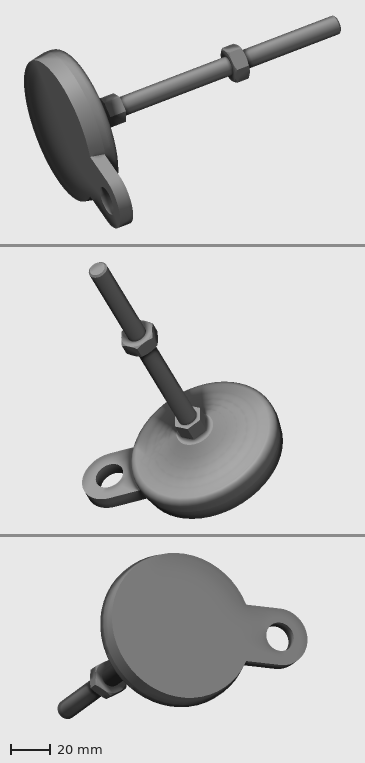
import cadquery as cq
import math

total_length = 160.0

foot_radius = 40.0
sole_radius = 38.4
flare_top = 7.8
shoulder_fillet = 4.0
shoulder_top = 15.4
crown_mid_radius = 23.2
crown_mid_height = 18.0
crown_radius = 11.5
crown_edge = 24.2
crown_bevel_height = 1.0
crown_bevel_width = 1.5

lug_radius = 15.0
lug_thickness = 7.4
lug_reach = 69.0
lug_hole_diameter = 15.0

spindle_diameter = 10.0
spindle_chamfer = 1.0
collar_start = 26.2
collar_height = 9.0
collar_flats = 14.0
nut_start = 97.5
nut_height = 8.0
nut_flats = 17.0


def plane_at(height):
    """Sketch plane across the spindle, with its normal along +Y."""
    return cq.Workplane(cq.Plane(origin=(0, height, 0), xDir=(1, 0, 0), normal=(0, 1, 0)))


def make_foot():
    """Dished foot turned about the Y axis."""
    shoulder_radius = foot_radius - shoulder_fillet
    fillet_offset = shoulder_fillet * math.sqrt(0.5)
    fillet_middle = (
        shoulder_radius + fillet_offset,
        shoulder_top - shoulder_fillet + fillet_offset,
    )
    return (
        cq.Workplane("XY")
        .lineTo(sole_radius, 0)
        .lineTo(foot_radius, flare_top)
        .lineTo(foot_radius, shoulder_top - shoulder_fillet)
        .threePointArc(fillet_middle, (shoulder_radius, shoulder_top))
        .threePointArc((crown_mid_radius, crown_mid_height), (crown_radius, crown_edge))
        .lineTo(crown_radius - crown_bevel_width, crown_edge + crown_bevel_height)
        .lineTo(0, crown_edge + crown_bevel_height)
        .close()
        .revolve(360, (0, 0, 0), (0, 1, 0))
    )


def make_lug():
    """Round-ended lug, flush with the sole, with its through hole."""
    eye_x = lug_reach - lug_radius
    arm = plane_at(0).center(eye_x / 2, 0).rect(eye_x, 2 * lug_radius).extrude(lug_thickness)
    eye = plane_at(0).center(eye_x, 0).circle(lug_radius).extrude(lug_thickness)
    hole = plane_at(0).center(eye_x, 0).circle(lug_hole_diameter / 2).extrude(lug_thickness)
    return arm.union(eye).cut(hole)


def make_spindle():
    """Rod from the sole to the far end, chamfered at the tip."""
    rod = plane_at(0).circle(spindle_diameter / 2).extrude(total_length)
    return rod.faces(">Y").chamfer(spindle_chamfer)


def make_hexagon(start, height, flats):
    """Hexagonal prism with flats facing X and corners facing Z."""
    corner_diameter = flats / math.cos(math.radians(30))
    prism = plane_at(start).polygon(6, corner_diameter).extrude(height)
    return prism.rotate((0, 0, 0), (0, 1, 0), 30)


def make_nut():
    """Lock nut with its corners turned down to 30 degree cones at both ends."""
    corner_radius = nut_flats / 2 / math.cos(math.radians(30))
    corner_setback = corner_radius - nut_flats / 2
    corner_drop = corner_setback * math.tan(math.radians(30))
    turned_blank = (
        plane_at(nut_start)
        .circle(corner_radius)
        .extrude(nut_height)
        .faces("<Y or >Y")
        .chamfer(corner_drop, corner_setback)
    )
    return make_hexagon(nut_start, nut_height, nut_flats).intersect(turned_blank)


result = (
    make_foot()
    .union(make_lug())
    .union(make_spindle())
    .union(make_hexagon(collar_start, collar_height, collar_flats))
    .union(make_nut())
)